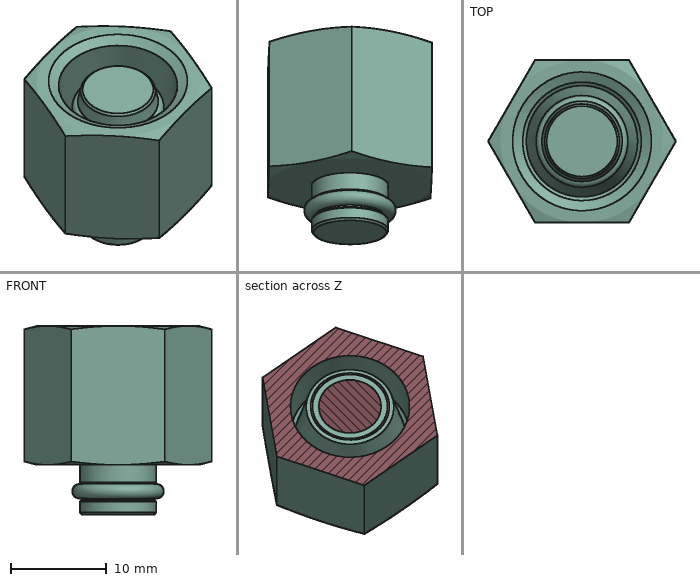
import cadquery as cq
import math

total_height = 19.69

across_flats = 17.0
nut_bottom = 5.2
corner_chamfer_angle = 15.0
nut_bore_radius = 12.39 / 2
countersink_radius = 7.25
countersink_depth = 0.61
seat_angle = 45.0

spigot_radius = 8.0 / 2
spigot_chamfer_width = 0.2
spigot_chamfer_height = 0.24

plug_top = total_height - 1.2
plug_top_radius = 3.68
head_edge_width = 0.22
head_edge_height = 0.24
taper_angle = 12.0
shoulder_radius = 5.8

ring_section_radius = 0.77
groove_radius = 6.5 / 2
groove_width = 1.71
groove_floor_fillet = 0.2
groove_rim_chamfer = 0.18
lower_groove_bottom = 1.5
upper_groove_bottom = 15.1
lower_ring_height = 2.45
upper_ring_height = upper_groove_bottom + groove_width / 2

corner_radius = across_flats / 2 / math.cos(math.radians(30))
corner_drop = (corner_radius - across_flats / 2) * math.tan(math.radians(corner_chamfer_angle))
taper_slope = math.tan(math.radians(taper_angle))
seat_slope = math.tan(math.radians(seat_angle))
taper_top = plug_top - head_edge_height
taper_top_radius = plug_top_radius + head_edge_width
shoulder_height = taper_top - (shoulder_radius - taper_top_radius) / taper_slope
seat_bottom = shoulder_height - (shoulder_radius - spigot_radius) / seat_slope
seat_top = seat_bottom + (nut_bore_radius - spigot_radius) / seat_slope


def revolve_profile(profile):
    """Revolve a closed (radius, height) outline, drawn in the XZ plane, about the Z axis."""
    return profile.close().revolve(360, (0, 0, 0), (0, 1, 0))


def taper_radius(height):
    """Radius of the tapered head at a given height."""
    return taper_top_radius + (taper_top - height) * taper_slope


def make_nut():
    """Hexagon nut with chamfered corners and a conical seat for the plug shoulder."""
    hexagon = (
        cq.Workplane("XY", origin=(0, 0, nut_bottom))
        .polygon(6, 2 * corner_radius)
        .extrude(total_height - nut_bottom)
    )
    chamfer_envelope = revolve_profile(
        cq.Workplane("XZ")
        .moveTo(0, nut_bottom)
        .lineTo(across_flats / 2, nut_bottom)
        .lineTo(corner_radius, nut_bottom + corner_drop)
        .lineTo(corner_radius, total_height - corner_drop)
        .lineTo(across_flats / 2, total_height)
        .lineTo(0, total_height)
    )
    bore = revolve_profile(
        cq.Workplane("XZ")
        .moveTo(0, nut_bottom)
        .lineTo(spigot_radius, nut_bottom)
        .lineTo(spigot_radius, seat_bottom)
        .lineTo(nut_bore_radius, seat_top)
        .lineTo(nut_bore_radius, total_height - countersink_depth)
        .lineTo(countersink_radius, total_height)
        .lineTo(0, total_height)
    )
    return hexagon.intersect(chamfer_envelope).cut(bore)


def make_groove(bottom, outer_radius):
    """Cutter for an O-ring groove with rounded floor corners."""
    return (
        cq.Workplane("XY", origin=(0, 0, bottom))
        .circle(outer_radius)
        .circle(groove_radius)
        .extrude(groove_width)
        .edges(cq.selectors.RadiusNthSelector(0))
        .fillet(groove_floor_fillet)
    )


def make_plug():
    """Tapered plug with a shoulder, a lower spigot and two O-ring grooves."""
    body = revolve_profile(
        cq.Workplane("XZ")
        .lineTo(spigot_radius - spigot_chamfer_width, 0)
        .lineTo(spigot_radius, spigot_chamfer_height)
        .lineTo(spigot_radius, seat_bottom)
        .lineTo(shoulder_radius, shoulder_height)
        .lineTo(taper_top_radius, taper_top)
        .lineTo(plug_top_radius, plug_top)
        .lineTo(0, plug_top)
    )
    lower_groove = make_groove(lower_groove_bottom, spigot_radius)
    upper_groove = make_groove(upper_groove_bottom, taper_radius(upper_groove_bottom))
    rim_zone = cq.selectors.BoxSelector(
        (-spigot_radius, -spigot_radius, lower_groove_bottom - groove_rim_chamfer),
        (spigot_radius, spigot_radius, lower_groove_bottom + groove_width + groove_rim_chamfer),
        boundingbox=False,
    )
    spigot_edges = cq.selectors.RadiusNthSelector(-1)
    grooved = body.cut(lower_groove)
    bevelled = grooved.edges(rim_zone).edges(spigot_edges).chamfer(groove_rim_chamfer)
    return bevelled.cut(upper_groove)


def make_ring(height):
    """O-ring resting on a groove floor, centred at the given height."""
    ring_radius = groove_radius + ring_section_radius
    ring = cq.Solid.makeTorus(ring_radius, ring_section_radius)
    return ring.translate(cq.Vector(0, 0, height))


nut = make_nut()
plug = make_plug()
rings = [make_ring(height) for height in (lower_ring_height, upper_ring_height)]

result = cq.Compound.makeCompound([nut.val(), plug.val(), *rings])